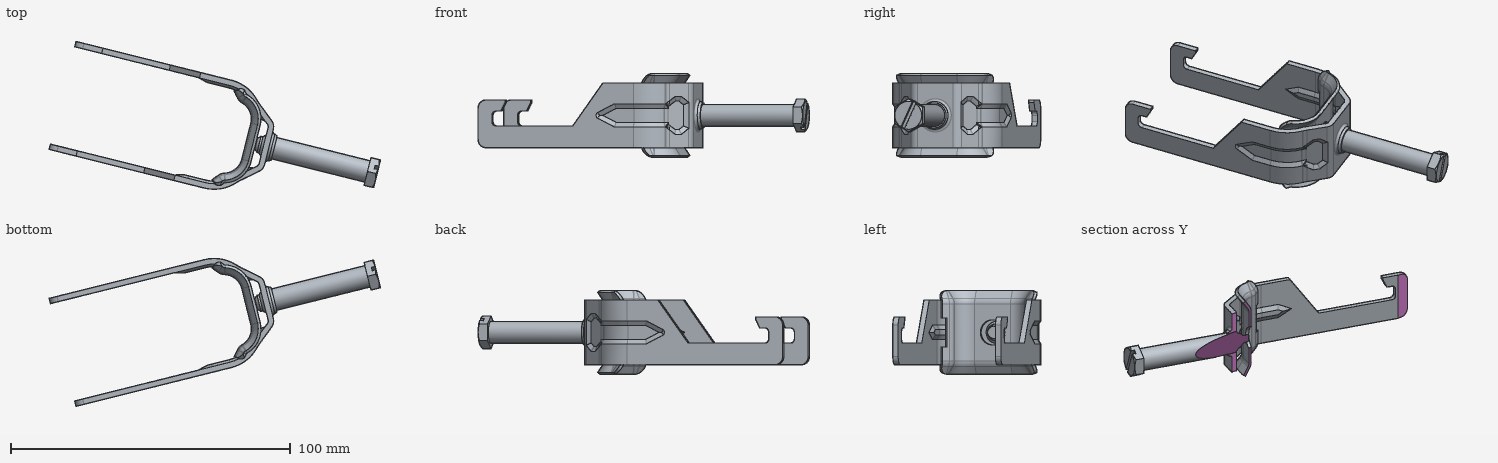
import cadquery as cq
import math

TURN = -14.0

SHEET = 2.0
STRAP_HEIGHT = 23.2
ARM_OUTER_Y = 19.9
ARM_END_X = -76.1
ARM_BEND_X = -18.9
SHOULDER_RADIUS = 14.5
SHOULDER_ANGLE = 47.0
CONE_ANGLE = 40.0
SHOULDER_FLAT = 0.2
REVERSE_BEND_RADIUS = 11.9
BACK_BEND_RADIUS = 3.5

HOOK_CORNER_RADIUS = 3.0
HOOK_TOP_Z = 5.6
HOOK_UNDERSIDE_Z = 1.5
HOOK_LENGTH = 10.0
HOOK_NOSE_LENGTH = 8.4
HOOK_TIP_HEIGHT = 1.0
HOOK_STEM = 5.1
SLOT_FLOOR_Z = -3.8
SLOT_CORNER_RADIUS = 1.5
RAMP_START_X = -41.3
RAMP_END_X = -30.1

EMBOSS_DEPTH = 1.0
EMBOSS_WALL = 1.7
EMBOSS_HALF = 4.2
EMBOSS_TIP_X = -34.0
EMBOSS_TIP_RADIUS = 1.2
EMBOSS_SHOULDER_X = -25.9
BULB_HALF = 6.8
BULB_START = 10.7
BULB_TOP_START = 6.9
BULB_TOP_END = 4.4
BULB_END = 1.4
BULB_END_HALF = 4.6
RIDGE_INSET = 1.5

COLLAR_LENGTH = 1.9
COLLAR_DIAMETER = 10.0
COLLAR_FLARE_RADIUS = 1.0
COLLAR_TIP_DIAMETER = 9.0

SADDLE_SHEET = 1.2
SADDLE_HEIGHT = 30.0
SADDLE_INNER_X = -8.4
SADDLE_FLAT_HALF = 6.6
SADDLE_BEND_RADIUS = 6.5
SADDLE_BEND_ANGLE = 73.0
SADDLE_LEG = 1.4
SADDLE_REVERSE_RADIUS = 4.2
SADDLE_END_ANGLE = 40.0
SADDLE_END_LENGTH = 3.9
RIM_ANGLE = 34.0
RIM_LENGTH = 4.5
RIM_BEND_RADIUS = 3.4
RIM_CORNER_RADIUS = 3.1
NOTCH_HALF = 5.2
NOTCH_DEPTH = 1.7
SEAT_HOLE_DIAMETER = 5.0
SEAT_FLARE_DIAMETER = 9.0
SEAT_COLLAR_DIAMETER = 6.6

BOLT_DIAMETER = 8.0
HEAD_X = 36.3
HEAD_HEIGHT = 3.5
HEAD_CORNERS = 11.9
HEAD_CHAMFER_DIAMETER = 10.0
HEAD_CHAMFER_ANGLE = 30.0
DRIVE_SLOT_WIDTH = 1.4
DRIVE_SLOT_DEPTH = 1.4
DRIVE_SLOT_ANGLE = 65.0
POINT_DIAMETER = 6.0
NECK_DIAMETER = 4.0
TIP_DIAMETER = 4.5
POINT_END_X = -3.7
NECK_START_X = -4.7
TIP_START_X = -5.9
TIP_END_X = -7.2


def direction(angle):
    return cq.Vector(math.cos(math.radians(angle)), math.sin(math.radians(angle)))


def rounded_line(plane, corners, closed=False):
    """Draw a line through (x, y, radius) corners, each rounded by an arc of its radius."""
    points = [cq.Vector(x, y) for x, y, _ in corners]
    radii = [radius for _, _, radius in corners]
    stretches = []
    for i, point in enumerate(points):
        if radii[i] == 0:
            stretches.append([point])
            continue
        back = (points[i - 1] - point).normalized()
        ahead = (points[(i + 1) % len(points)] - point).normalized()
        half_angle = back.getAngle(ahead) / 2
        bisector = (back + ahead).normalized()
        tangent_length = radii[i] / math.tan(half_angle)
        middle = point + bisector * (radii[i] / math.sin(half_angle) - radii[i])
        stretches.append([point + back * tangent_length, middle, point + ahead * tangent_length])

    line = cq.Workplane(plane).moveTo(*stretches[0][-1].toTuple()[:2])
    for stretch in stretches[1:] + stretches[:1] * closed:
        line = line.lineTo(*stretch[0].toTuple()[:2])
        if len(stretch) == 3:
            line = line.threePointArc(stretch[1].toTuple()[:2], stretch[2].toTuple()[:2])
    return line.close() if closed else line


def mirrored(half):
    """Complete a half line, given from +Y to the XZ plane, with its mirror image; start at -Y."""
    return [(x, -y, radius) for x, y, radius in half] + half[::-1]


def start_plane(path):
    """Plane across the start of a path, with its x axis to the right of the path."""
    (x0, y0, _), (x1, y1, _) = path[:2]
    tangent = cq.Vector(x1 - x0, y1 - y0)
    right = cq.Vector(tangent.y, -tangent.x)
    return cq.Plane(origin=(x0, y0, 0), xDir=right.toTuple(), normal=tangent.toTuple())


def swept_sheet(path, section):
    """Sweep a closed (offset to the right, height, radius) section along a path in the XY plane."""
    return rounded_line(start_plane(path), section, closed=True).sweep(rounded_line("XY", path))


def strap_half_path():
    """Outer face of half the strap, from the arm end to the back plate."""
    half_tangent = SHOULDER_RADIUS * math.tan(math.radians(SHOULDER_ANGLE / 2))
    shoulder = cq.Vector(ARM_BEND_X + half_tangent, ARM_OUTER_Y)
    reverse_turn = math.radians(SHOULDER_ANGLE - CONE_ANGLE)
    leg = half_tangent + SHOULDER_FLAT + REVERSE_BEND_RADIUS * math.tan(reverse_turn / 2)
    reverse = shoulder + direction(-SHOULDER_ANGLE) * leg
    back_y = reverse.y + reverse.x * math.tan(math.radians(CONE_ANGLE))
    return [
        (ARM_END_X, ARM_OUTER_Y, 0),
        (shoulder.x, shoulder.y, SHOULDER_RADIUS),
        (reverse.x, reverse.y, REVERSE_BEND_RADIUS),
        (0, back_y, BACK_BEND_RADIUS),
    ]


def bent_strip():
    """The bent sheet at full height over its whole length."""
    half = STRAP_HEIGHT / 2
    section = [(0, -half, 0), (0, half, 0), (-SHEET, half, 0), (-SHEET, -half, 0)]
    return swept_sheet(mirrored(strap_half_path()), section)


def strap_outline():
    """Side outline of the strap: hook, slot, ramp and full-height clamp part."""
    half = STRAP_HEIGHT / 2
    nose_x = ARM_END_X + HOOK_NOSE_LENGTH
    tip_x = ARM_END_X + HOOK_LENGTH
    stem_x = ARM_END_X + HOOK_STEM
    outline = rounded_line("XZ", [
        (0, -half, 0),
        (ARM_END_X, -half, HOOK_CORNER_RADIUS),
        (ARM_END_X, HOOK_TOP_Z, HOOK_CORNER_RADIUS),
        (tip_x, HOOK_TOP_Z, 0),
        (tip_x, HOOK_TOP_Z - HOOK_TIP_HEIGHT, 0),
        (nose_x, HOOK_UNDERSIDE_Z, 0),
        (stem_x, HOOK_UNDERSIDE_Z, SLOT_CORNER_RADIUS),
        (stem_x, SLOT_FLOOR_Z, SLOT_CORNER_RADIUS),
        (RAMP_START_X, SLOT_FLOOR_Z, 0),
        (RAMP_END_X, half, 0),
        (0, half, 0),
    ], closed=True)
    return outline.extrude(2 * ARM_OUTER_Y, both=True)


def tapered_pad(plane, outline, inset):
    """Pad with sloping walls, raised from a plane by the depth of the emboss."""
    base = rounded_line(plane, outline, closed=True)
    if inset:
        base = base.offset2D(-inset, "intersection")
    return base.extrude(EMBOSS_DEPTH, taper=math.degrees(math.atan(EMBOSS_WALL / EMBOSS_DEPTH)))


def emboss(depth, inset):
    """Emboss on both sides, starting at a depth below the outer face and made smaller by the inset."""
    _, shoulder, reverse, (corner_x, corner_y, _) = strap_half_path()
    inward = direction(-90 - CONE_ANGLE)
    along_leg = direction(180 - CONE_ANGLE)

    arm_plane = cq.Plane(origin=(0, ARM_OUTER_Y - depth, 0), xDir=(1, 0, 0), normal=(0, -1, 0))
    tip = tapered_pad(arm_plane, [
        (EMBOSS_TIP_X, 0, EMBOSS_TIP_RADIUS),
        (EMBOSS_SHOULDER_X, EMBOSS_HALF, 0),
        (ARM_BEND_X, EMBOSS_HALF, 0),
        (ARM_BEND_X, -EMBOSS_HALF, 0),
        (EMBOSS_SHOULDER_X, -EMBOSS_HALF, 0),
    ], inset)

    corner = cq.Vector(corner_x, corner_y)
    leg_plane = cq.Plane(
        origin=(corner + inward * depth).toTuple(), xDir=along_leg.toTuple(), normal=inward.toTuple()
    )
    bulb = tapered_pad(leg_plane, [
        (BULB_START, EMBOSS_HALF, 0),
        (BULB_TOP_START, BULB_HALF, 0),
        (BULB_TOP_END, BULB_HALF, 0),
        (BULB_END, BULB_END_HALF, 0),
        (BULB_END, -BULB_END_HALF, 0),
        (BULB_TOP_END, -BULB_HALF, 0),
        (BULB_TOP_START, -BULB_HALF, 0),
        (BULB_START, -EMBOSS_HALF, 0),
    ], inset)

    bar_end = corner + along_leg * BULB_TOP_START
    bar_path = [(EMBOSS_SHOULDER_X + EMBOSS_WALL, ARM_OUTER_Y, 0), shoulder, reverse, (bar_end.x, bar_end.y, 0)]
    bottom = EMBOSS_HALF - inset
    top = bottom - EMBOSS_WALL
    floor = depth + EMBOSS_DEPTH
    bar = swept_sheet(bar_path, [(depth, -bottom, 0), (depth, bottom, 0), (floor, top, 0), (floor, -top, 0)])

    side = tip.union(bar).union(bulb)
    return side.union(side.mirror("XZ"))


def bolt_collar():
    """Flared collar on the back plate, round the bolt."""
    radius = COLLAR_DIAMETER / 2
    profile = (
        cq.Workplane("XY")
        .moveTo(-SHEET / 2, 0)
        .lineTo(-SHEET / 2, radius + COLLAR_FLARE_RADIUS)
        .lineTo(0, radius + COLLAR_FLARE_RADIUS)
        .radiusArc((COLLAR_FLARE_RADIUS, radius), -COLLAR_FLARE_RADIUS)
        .lineTo(COLLAR_LENGTH, COLLAR_TIP_DIAMETER / 2)
        .lineTo(COLLAR_LENGTH, 0)
        .close()
    )
    return profile.revolve(360, (0, 0), (1, 0))


def make_strap():
    groove = emboss(0, 0)
    ridge = emboss(SHEET, RIDGE_INSET)
    hole = cq.Workplane("YZ").circle(BOLT_DIAMETER / 2).extrude(4 * SHEET, both=True)
    strap = bent_strip().intersect(strap_outline())
    return strap.cut(groove).union(ridge).union(bolt_collar()).cut(hole)


def saddle_path():
    """Inner face of the saddle, from one end to the other."""
    half_tangent = SADDLE_BEND_RADIUS * math.tan(math.radians(SADDLE_BEND_ANGLE / 2))
    corner = cq.Vector(SADDLE_INNER_X, SADDLE_FLAT_HALF + half_tangent)
    reverse = corner + direction(90 + SADDLE_BEND_ANGLE) * (half_tangent + SADDLE_LEG)
    end = reverse + direction(90 + SADDLE_END_ANGLE) * SADDLE_END_LENGTH
    return mirrored([
        (end.x, end.y, 0),
        (reverse.x, reverse.y, SADDLE_REVERSE_RADIUS),
        (corner.x, corner.y, SADDLE_BEND_RADIUS),
    ])


def saddle_section():
    """Flat strip with both rims bent outwards."""
    rim = direction(90 - RIM_ANGLE)
    top = SADDLE_HEIGHT / 2
    bend_z = top - RIM_LENGTH * rim.y
    rim_x = RIM_LENGTH * rim.x
    outer_bend_z = bend_z - SADDLE_SHEET * math.tan(math.radians(RIM_ANGLE / 2))
    upper = [
        (SADDLE_SHEET, outer_bend_z, RIM_BEND_RADIUS - SADDLE_SHEET),
        (rim_x + SADDLE_SHEET * rim.y, top - SADDLE_SHEET * rim.x, 0),
        (rim_x, top, 0),
        (0, bend_z, RIM_BEND_RADIUS),
    ]
    return upper + [(x, -z, radius) for x, z, radius in reversed(upper)]


def end_trim():
    """Waste at the first end of the saddle: a notch that clears the emboss, and both rim corners."""
    across = start_plane(saddle_path())
    side = cq.Plane(origin=across.origin, xDir=across.zDir, normal=across.xDir)
    top = SADDLE_HEIGHT / 2
    width = 2 * RIM_LENGTH
    corner = (
        cq.Workplane(side)
        .moveTo(0, top - RIM_CORNER_RADIUS)
        .radiusArc((RIM_CORNER_RADIUS, top), RIM_CORNER_RADIUS)
        .lineTo(0, top)
        .close()
        .extrude(width, both=True)
    )
    notch = cq.Workplane(side).rect(2 * NOTCH_DEPTH, 2 * NOTCH_HALF).extrude(width, both=True)
    return notch.union(corner).union(corner.mirror("XY"))


def seat_disc(diameter):
    """Disc through the back of the saddle, on the bolt axis."""
    return cq.Workplane("YZ", origin=(SADDLE_INNER_X, 0, 0)).circle(diameter / 2).extrude(SADDLE_SHEET)


def bolt_seat():
    """Hole for the bolt tip, drawn out into a collar with a rounded mouth on the inner face."""
    hole = SEAT_HOLE_DIAMETER / 2
    mouth = SEAT_FLARE_DIAMETER / 2
    depth = mouth - hole
    outer_x = SADDLE_INNER_X + SADDLE_SHEET
    profile = (
        cq.Workplane("XY")
        .moveTo(SADDLE_INNER_X, mouth)
        .radiusArc((SADDLE_INNER_X + depth, hole), depth)
        .lineTo(SADDLE_INNER_X + depth, SEAT_COLLAR_DIAMETER / 2)
        .lineTo(outer_x, SEAT_COLLAR_DIAMETER / 2)
        .lineTo(outer_x, mouth)
        .close()
    )
    return profile.revolve(360, (0, 0), (1, 0))


def make_saddle():
    saddle = swept_sheet(saddle_path(), saddle_section())
    saddle = saddle.cut(end_trim()).cut(end_trim().mirror("XZ"))
    return saddle.cut(seat_disc(SEAT_FLARE_DIAMETER)).union(bolt_seat())


def bolt_shaft():
    point = POINT_DIAMETER / 2
    neck = NECK_DIAMETER / 2
    tip = TIP_DIAMETER / 2
    shank = BOLT_DIAMETER / 2
    profile = cq.Workplane("XY").polyline([
        (TIP_END_X, 0),
        (TIP_END_X, tip),
        (TIP_START_X, tip),
        (TIP_START_X, neck),
        (NECK_START_X, neck),
        (POINT_END_X, point),
        (-SHEET - (shank - point), point),
        (-SHEET, shank),
        (HEAD_X, shank),
        (HEAD_X, 0),
    ]).close()
    return profile.revolve(360, (0, 0), (1, 0))


def bolt_head():
    head = cq.Workplane("YZ", origin=(HEAD_X, 0, 0)).polygon(6, HEAD_CORNERS).extrude(HEAD_HEIGHT)
    head = head.rotate((0, 0, 0), (1, 0, 0), 90)
    end_x = HEAD_X + HEAD_HEIGHT
    rim = HEAD_CHAMFER_DIAMETER / 2
    base_radius = rim + HEAD_HEIGHT / math.tan(math.radians(HEAD_CHAMFER_ANGLE))
    cone = (
        cq.Workplane("XY")
        .polyline([(HEAD_X, 0), (HEAD_X, base_radius), (end_x, rim), (end_x, 0)])
        .close()
        .revolve(360, (0, 0), (1, 0))
    )
    slot = cq.Workplane("YZ", origin=(end_x, 0, 0)).rect(2 * HEAD_CORNERS, DRIVE_SLOT_WIDTH)
    slot = slot.extrude(-DRIVE_SLOT_DEPTH).rotate((0, 0, 0), (1, 0, 0), DRIVE_SLOT_ANGLE)
    return head.intersect(cone).cut(slot)


def make_bolt():
    return bolt_shaft().union(bolt_head())


strap = make_strap()
saddle = make_saddle()
bolt = make_bolt()
bodies = [body.rotate((0, 0, 0), (0, 0, 1), TURN).val() for body in (strap, saddle, bolt)]
result = cq.Compound.makeCompound(bodies)